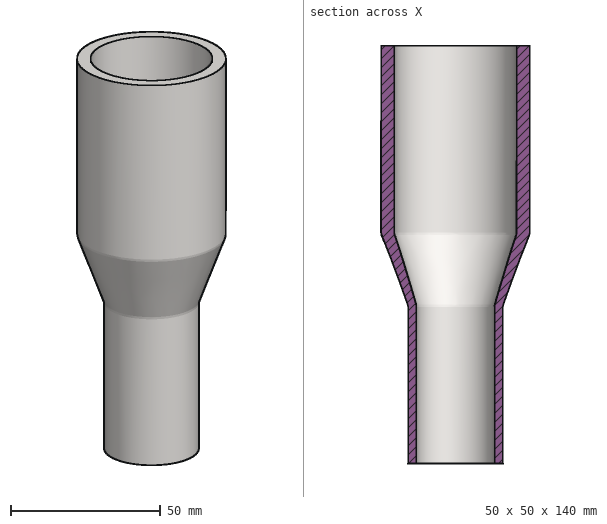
import cadquery as cq

total_height = 140.0
large_diameter = 50.0
small_diameter = 31.9
large_bore_diameter = 40.9
small_bore_diameter = 26.0
cone_bottom = 52.9
cone_top = 77.0
blend_radius = 2.5


def stepped_body(lower_diameter, upper_diameter):
    """Two cylinders joined by a cone, with both transitions rounded."""
    lower_radius = lower_diameter / 2
    upper_radius = upper_diameter / 2
    body = (
        cq.Workplane("XZ")
        .lineTo(-lower_radius, 0)
        .lineTo(-lower_radius, cone_bottom)
        .lineTo(-upper_radius, cone_top)
        .lineTo(-upper_radius, total_height)
        .lineTo(0, total_height)
        .close()
        .revolve(360, (0, 0, 0), (0, 1, 0))
    )
    return body.edges("%CIRCLE").edges("(not >Z) and (not <Z)").fillet(blend_radius)


outside = stepped_body(small_diameter, large_diameter)
bore = stepped_body(small_bore_diameter, large_bore_diameter)
result = outside.cut(bore)